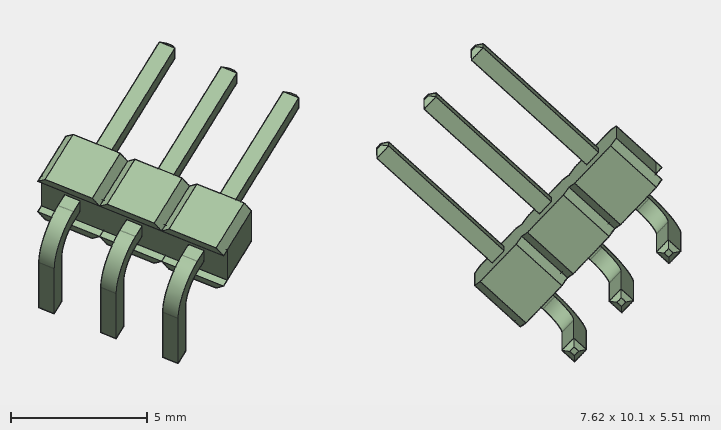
import cadquery as cq


row_length = 7.62
total_depth = 10.13
total_height = 5.51

pin_count = 3
pitch = row_length / pin_count
housing_depth = 2.3
housing_height = 2.48
corner_chamfer = 0.3
front_recess = 0.3

pin_width = 0.64
rear_pin_length = 6.0
bend_outer_radius = 1.59
bend_inner_radius = bend_outer_radius - pin_width
tip_length = 0.2
tip_width = pin_width - 2 * tip_length

housing_front_y = -housing_depth
pin_rear_y = rear_pin_length
pin_front_y = pin_rear_y - total_depth
pin_bottom_z = housing_height / 2 - total_height
leg_center_y = pin_front_y + pin_width / 2


def housing_block(center_x):
    """Block with its four lengthwise edges chamfered and its front face set back between two lips."""
    block = (
        cq.Workplane("XY")
        .box(pitch, housing_depth, housing_height)
        .edges("|Y")
        .chamfer(corner_chamfer)
        .translate((center_x, housing_front_y + housing_depth / 2, 0))
    )
    recess = (
        cq.Workplane("XY")
        .box(pitch, front_recess, housing_height - 2 * corner_chamfer)
        .translate((center_x, housing_front_y + front_recess / 2, 0))
    )
    return block.cut(recess)


def tapered_tip(base_plane):
    """Square frustum that narrows from the pin section along the plane normal."""
    return (
        base_plane
        .rect(pin_width, pin_width)
        .workplane(offset=tip_length)
        .rect(tip_width, tip_width)
        .loft(ruled=True)
    )


def bent_pin(center_x):
    """Square pin running along Y, then bent down to -Z, with a tapered tip at each end."""
    half_width = pin_width / 2
    rear_shoulder_y = pin_rear_y - tip_length
    bottom_shoulder_z = pin_bottom_z + tip_length
    shaft = (
        cq.Workplane("YZ")
        .moveTo(rear_shoulder_y, half_width)
        .lineTo(pin_front_y + bend_outer_radius, half_width)
        .radiusArc((pin_front_y, half_width - bend_outer_radius), -bend_outer_radius)
        .lineTo(pin_front_y, bottom_shoulder_z)
        .lineTo(pin_front_y + pin_width, bottom_shoulder_z)
        .lineTo(pin_front_y + pin_width, half_width - bend_outer_radius)
        .radiusArc((pin_front_y + bend_outer_radius, -half_width), bend_inner_radius)
        .lineTo(rear_shoulder_y, -half_width)
        .close()
        .extrude(half_width, both=True)
    )
    rear_tip = tapered_tip(cq.Workplane(cq.Plane((0, rear_shoulder_y, 0), (1, 0, 0), (0, 1, 0))))
    bottom_tip = tapered_tip(
        cq.Workplane(cq.Plane((0, leg_center_y, bottom_shoulder_z), (1, 0, 0), (0, 0, -1)))
    )
    return shaft.union(rear_tip).union(bottom_tip).translate((center_x, 0, 0))


result = cq.Workplane("XY")
for index in range(pin_count):
    position_x = (index - (pin_count - 1) / 2) * pitch
    result = result.union(housing_block(position_x)).union(bent_pin(position_x))